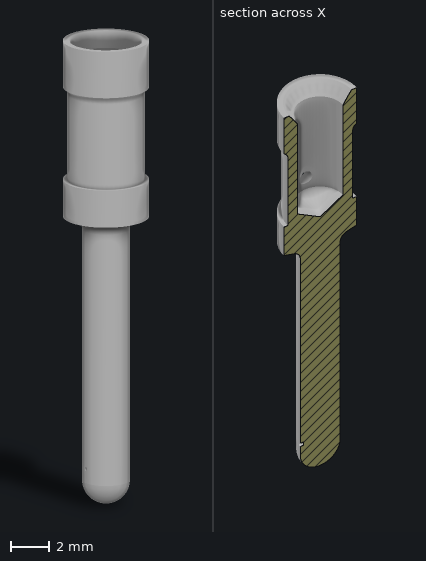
import cadquery as cq
import math

length = 25.0
collar_radius = 2.25
barrel_radius = 2.02
pin_radius = 1.25

head_bottom = length - 2.5
collar_top = 17.5
collar_bottom = 15.5

head_fillet = 0.38
pin_fillet = 0.5
collar_slope = math.radians(15)

mouth_radius = 1.92
bore_radius = 1.4
mouth_depth = 0.8
bore_bottom = 18.0
drill_half_angle = math.radians(59)

inspection_diameter = 0.8
inspection_height = 18.8
dimple_diameter = 0.2
dimple_depth = 0.2
dimple_height = 2.0


def point_on_arc(center, radius, angle):
    """Point at an angle measured counterclockwise from the outward radial direction."""
    return (center[0] + radius * math.cos(angle), center[1] + radius * math.sin(angle))


def make_body():
    """Revolve the outer profile; both concave arcs are tangent to the cylinder below them."""
    pin_arc_end_angle = math.pi / 2 + collar_slope
    pin_arc_x = pin_radius + pin_fillet
    cone_start_x = pin_arc_x + pin_fillet * math.cos(pin_arc_end_angle)
    cone_start_z = collar_bottom - (collar_radius - cone_start_x) * math.tan(collar_slope)
    pin_arc_z = cone_start_z - pin_fillet * math.sin(pin_arc_end_angle)
    pin_arc_center = (pin_arc_x, pin_arc_z)
    pin_arc_middle = point_on_arc(pin_arc_center, pin_fillet, (math.pi + pin_arc_end_angle) / 2)

    head_arc_x = barrel_radius + head_fillet
    head_arc_end_angle = math.acos((collar_radius - head_arc_x) / head_fillet)
    head_arc_z = head_bottom - head_fillet * math.sin(head_arc_end_angle)
    head_arc_center = (head_arc_x, head_arc_z)
    head_arc_middle = point_on_arc(head_arc_center, head_fillet, (math.pi + head_arc_end_angle) / 2)

    tip_middle = point_on_arc((0, pin_radius), pin_radius, -math.pi / 4)
    return (
        cq.Workplane("XZ")
        .moveTo(0, 0)
        .threePointArc(tip_middle, (pin_radius, pin_radius))
        .lineTo(pin_radius, pin_arc_z)
        .threePointArc(pin_arc_middle, (cone_start_x, cone_start_z))
        .lineTo(collar_radius, collar_bottom)
        .lineTo(collar_radius, collar_top)
        .lineTo(barrel_radius, collar_top)
        .lineTo(barrel_radius, head_arc_z)
        .threePointArc(head_arc_middle, (collar_radius, head_bottom))
        .lineTo(collar_radius, length)
        .lineTo(0, length)
        .close()
        .revolve(360, (0, 0, 0), (0, 1, 0))
    )


def make_bore():
    """Blind wire bore with a conical lead-in and a drill-point bottom."""
    drill_point_z = bore_bottom - bore_radius / math.tan(drill_half_angle)
    return (
        cq.Workplane("XZ")
        .moveTo(0, drill_point_z)
        .lineTo(bore_radius, bore_bottom)
        .lineTo(bore_radius, length - mouth_depth)
        .lineTo(mouth_radius, length)
        .lineTo(0, length)
        .close()
        .revolve(360, (0, 0, 0), (0, 1, 0))
    )


def make_inspection_hole():
    """Hole from the -X side into the wire bore, through one wall only."""
    return (
        cq.Workplane("YZ")
        .center(0, inspection_height)
        .circle(inspection_diameter / 2)
        .extrude(-collar_radius)
    )


def make_dimple():
    """Tiny blind hole in the -Y side of the pin, just above its rounded tip."""
    return (
        cq.Workplane("XZ", origin=(0, -pin_radius, 0))
        .center(0, dimple_height)
        .circle(dimple_diameter / 2)
        .extrude(-dimple_depth)
    )


result = make_body().cut(make_bore()).cut(make_inspection_hole()).cut(make_dimple())